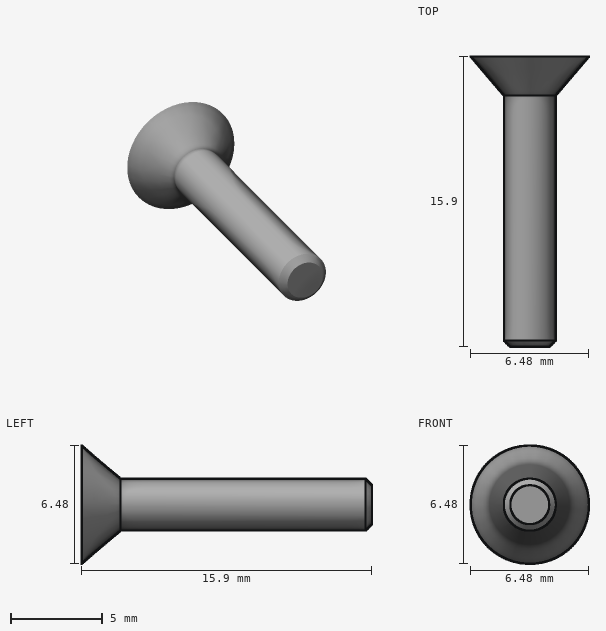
import cadquery as cq

overall_length = 15.875
shank_diameter = 2.85
head_diameter = 6.48
head_height = 2.13
tip_chamfer = 0.36

shank_radius = shank_diameter / 2
head_radius = head_diameter / 2
tip_radius = shank_radius - tip_chamfer


def screw_body():
    """Revolve the half profile (radius along X) about the Y axis."""
    return (
        cq.Workplane("XY")
        .moveTo(0, 0)
        .lineTo(head_radius, 0)
        .lineTo(shank_radius, -head_height)
        .lineTo(shank_radius, -overall_length + tip_chamfer)
        .lineTo(tip_radius, -overall_length)
        .lineTo(0, -overall_length)
        .close()
        .revolve(360, (0, 0, 0), (0, 1, 0))
    )


result = screw_body()